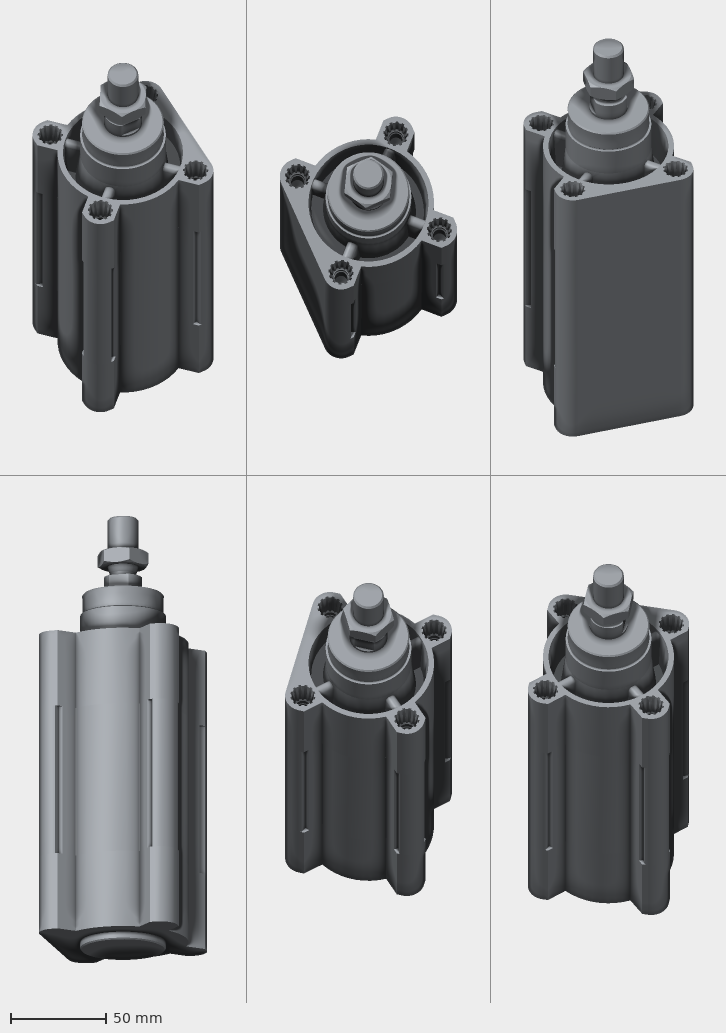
import cadquery as cq
import math

TOTAL_HEIGHT = 233
BOSS_HEIGHT = 4.0
CAP_LENGTH = 40.8
BARREL_LENGTH = 80.0
SLEEVE_HEIGHT = 15.0
WIPER_HEIGHT = 11.5
FLAT_FOOT = 1.5
SHOULDER_HEIGHT = 9.3
NUT_TOP = 215.0
NUT_THICKNESS = 8.0

BARREL_Z = BOSS_HEIGHT + CAP_LENGTH
FRONT_CAP_Z = BARREL_Z + BARREL_LENGTH
CAP_TOP = FRONT_CAP_Z + CAP_LENGTH
WIPER_Z = CAP_TOP + SLEEVE_HEIGHT
WIPER_TOP = WIPER_Z + WIPER_HEIGHT
SHOULDER_Z = WIPER_TOP + SHOULDER_HEIGHT
NUT_Z = NUT_TOP - NUT_THICKNESS

SIDE = 75.0
LOBE_R = 9.3
TUBE_D = 68.8
ARM_WIDTH = 17.5
HALF_SIDE = SIDE / 2
LOBE_XY = HALF_SIDE - LOBE_R
LOBE_RADIAL = LOBE_XY * math.sqrt(2)
DIAGONALS = [45, 135, 225, 315]

GROOVE_START = 41.3
GROOVE_WALL = 1.0
GROOVE_HALF_WIDTH = 6.5
LOBE_EDGE_HALF_WIDTH = 7.7
BARREL_FILLET = 0.7

COLLAR_D = 45.0
WIPER_D = 43.0
WIPER_WAIST_D = 42.5
WIPER_CHAMFER = 0.7
BOSS_CHAMFER = 0.7

RECESS_D = 63
RECESS_DEPTH = 21.0
SHALLOW_DEPTH = 12.1
DRAFT = math.tan(math.radians(6.5))
RIB_HALF_WIDTH = 2.8
RIB_CREST = 0.2
RIB_DROP = 1.6

SOCKET_D = 12.0
TOOTH_TIP_D = 13.3
TOOTH_COUNT = 12
SOCKET_NARROWING = 2.8
SOCKET_DEPTH = 11.7
STEP_D = 8.0
STEP_DEPTH = 2.3
DRILL_D = 6.8
DRILL_DEPTH = 9.3
DRILL_TIP_ANGLE = 118

ROD_D = 20.0
ROD_FLATS = 17.0
THREAD_D = 16.0
THREAD_CHAMFER = 1.0
NECK_D = 14.0
NECK_EDGE_D = 15.0
NECK_FILLET_HEIGHT = 0.7
NECK_CONE_D = 14.5
NECK_LENGTH = 2.8
CONE_HEIGHT = 2.8
NUT_FLATS = 24.0
NUT_CHAMFER_ANGLE = 30
NUT_SIDES = 6
NUT_HALF_SECTOR = 180 / NUT_SIDES


def cylinder(diameter, z_bottom, height):
    return cq.Workplane("XY", origin=(0, 0, z_bottom)).circle(diameter / 2).extrude(height)


def revolve_about_z(profile):
    return profile.close().revolve(360, (0, 0, 0), (0, 1, 0))


def back_web(z_bottom, height):
    """Flat side that joins the two lobes on +Y."""
    return (
        cq.Workplane("XY", origin=(0, 0, z_bottom))
        .rect(2 * LOBE_XY, LOBE_R)
        .extrude(height)
        .translate((0, LOBE_XY + LOBE_R / 2, 0))
    )


def cap(z_bottom):
    """Round cap with four diagonal arms trimmed to a rounded square."""
    base = cq.Workplane("XY", origin=(0, 0, z_bottom))
    rounded_square = base.rect(SIDE, SIDE).extrude(CAP_LENGTH).edges("|Z").fillet(LOBE_R)
    strip = base.rect(2 * SIDE, ARM_WIDTH).extrude(CAP_LENGTH)
    arms = strip.rotate((0, 0, 0), (0, 0, 1), 45).union(strip.rotate((0, 0, 0), (0, 0, 1), -45))
    tube = cylinder(TUBE_D, z_bottom, CAP_LENGTH)
    return tube.union(arms.intersect(rounded_square)).union(back_web(z_bottom, CAP_LENGTH))


def barrel_arm():
    """One barrel arm along +X with a small groove on each side of its lobe."""
    floor_x = GROOVE_START + GROOVE_WALL
    lobe_edge_x = LOBE_RADIAL + math.sqrt(LOBE_R**2 - LOBE_EDGE_HALF_WIDTH**2)
    return (
        cq.Workplane("XY", origin=(0, 0, BARREL_Z))
        .moveTo(0, -ARM_WIDTH / 2)
        .lineTo(GROOVE_START, -ARM_WIDTH / 2)
        .lineTo(floor_x, -GROOVE_HALF_WIDTH)
        .lineTo(lobe_edge_x, -LOBE_EDGE_HALF_WIDTH)
        .threePointArc((LOBE_RADIAL + LOBE_R, 0), (lobe_edge_x, LOBE_EDGE_HALF_WIDTH))
        .lineTo(floor_x, GROOVE_HALF_WIDTH)
        .lineTo(GROOVE_START, ARM_WIDTH / 2)
        .lineTo(0, ARM_WIDTH / 2)
        .close()
        .extrude(BARREL_LENGTH)
    )


def barrel():
    body = cylinder(TUBE_D, BARREL_Z, BARREL_LENGTH)
    arm = barrel_arm()
    for angle in DIAGONALS:
        body = body.union(arm.rotate((0, 0, 0), (0, 0, 1), angle))
    corner_x = math.sqrt((TUBE_D / 2) ** 2 - (ARM_WIDTH / 2) ** 2)
    corner_angle = math.degrees(math.atan2(ARM_WIDTH / 2, corner_x))
    for angle in DIAGONALS:
        for side in (-1, 1):
            direction = math.radians(angle + side * corner_angle)
            corner = (
                TUBE_D / 2 * math.cos(direction),
                TUBE_D / 2 * math.sin(direction),
                BARREL_Z + BARREL_LENGTH / 2,
            )
            body = body.edges(cq.selectors.NearestToPointSelector(corner)).fillet(BARREL_FILLET)
    return body.union(back_web(BARREL_Z, BARREL_LENGTH))


def recess_ring():
    """Ring-shaped recess volume whose walls close in towards the floor."""
    inset = RECESS_DEPTH * DRAFT
    floor_z = CAP_TOP - RECESS_DEPTH
    return revolve_about_z(
        cq.Workplane("XZ")
        .moveTo(COLLAR_D / 2, CAP_TOP)
        .lineTo(RECESS_D / 2, CAP_TOP)
        .lineTo(RECESS_D / 2 - inset, floor_z)
        .lineTo(COLLAR_D / 2 + inset, floor_z)
    )


def rib():
    """Rib along +X that widens downwards, with rounded shoulders beside a narrow crest."""
    round_r = RIB_HALF_WIDTH - RIB_CREST
    round_mid_y = RIB_CREST + round_r / math.sqrt(2)
    crest_z = CAP_TOP - RIB_DROP
    axis_z = crest_z - round_r
    round_mid_z = axis_z + round_r / math.sqrt(2)
    foot_z = CAP_TOP - RECESS_DEPTH
    foot_half_width = RIB_HALF_WIDTH + (axis_z - foot_z) * DRAFT
    return (
        cq.Workplane("YZ")
        .moveTo(-foot_half_width, foot_z)
        .lineTo(-RIB_HALF_WIDTH, axis_z)
        .threePointArc((-round_mid_y, round_mid_z), (-RIB_CREST, crest_z))
        .lineTo(RIB_CREST, crest_z)
        .threePointArc((round_mid_y, round_mid_z), (RIB_HALF_WIDTH, axis_z))
        .lineTo(foot_half_width, foot_z)
        .close()
        .extrude(RECESS_D / 2)
    )


def shallow_step():
    """Raised floor of the recess quarter on +Y."""
    return (
        cq.Workplane("XY", origin=(0, 0, CAP_TOP - RECESS_DEPTH))
        .polyline([(0, 0), (RECESS_D, RECESS_D), (-RECESS_D, RECESS_D)])
        .close()
        .extrude(RECESS_DEPTH - SHALLOW_DEPTH)
    )


def front_recess():
    recess = recess_ring().cut(shallow_step())
    for angle in DIAGONALS:
        recess = recess.cut(rib().rotate((0, 0, 0), (0, 0, 1), angle))
    return recess


def socket_cone(mouth_d):
    """Tapered plug, widest at its mouth on Z = 0."""
    return revolve_about_z(
        cq.Workplane("XZ")
        .lineTo(mouth_d / 2, 0)
        .lineTo((mouth_d - SOCKET_NARROWING) / 2, -SOCKET_DEPTH)
        .lineTo(0, -SOCKET_DEPTH)
    )


def screw_socket():
    """Tapered toothed socket, stepped bore and drill tip, opening at the origin."""
    slot_width = math.pi * SOCKET_D / TOOTH_COUNT / 2
    socket = socket_cone(SOCKET_D)
    tip_cone = socket_cone(TOOTH_TIP_D)
    for i in range(TOOTH_COUNT // 2):
        slot = cq.Workplane("XY").rect(2 * TOOTH_TIP_D, slot_width).extrude(-SOCKET_DEPTH)
        slot = slot.rotate((0, 0, 0), (0, 0, 1), i * 360 / TOOTH_COUNT)
        socket = socket.union(slot.intersect(tip_cone))
    step_z = -SOCKET_DEPTH - STEP_DEPTH
    drill_z = step_z - DRILL_DEPTH
    tip_height = DRILL_D / 2 / math.tan(math.radians(DRILL_TIP_ANGLE / 2))
    bore = revolve_about_z(
        cq.Workplane("XZ")
        .moveTo(0, -SOCKET_DEPTH)
        .lineTo(STEP_D / 2, -SOCKET_DEPTH)
        .lineTo(STEP_D / 2, step_z)
        .lineTo(DRILL_D / 2, step_z)
        .lineTo(DRILL_D / 2, drill_z)
        .lineTo(0, drill_z - tip_height)
    )
    return socket.union(bore)


def collar():
    """Sleeve with a slightly waisted wiper ring on top, chamfered at both ends."""
    end_r = WIPER_D / 2 - WIPER_CHAMFER
    waist_z = WIPER_Z + WIPER_HEIGHT / 2
    return revolve_about_z(
        cq.Workplane("XZ")
        .moveTo(0, FRONT_CAP_Z)
        .lineTo(COLLAR_D / 2, FRONT_CAP_Z)
        .lineTo(COLLAR_D / 2, WIPER_Z)
        .lineTo(end_r, WIPER_Z)
        .lineTo(WIPER_D / 2, WIPER_Z + WIPER_CHAMFER)
        .threePointArc((WIPER_WAIST_D / 2, waist_z), (WIPER_D / 2, WIPER_TOP - WIPER_CHAMFER))
        .lineTo(end_r, WIPER_TOP)
        .lineTo(0, WIPER_TOP)
    )


def make_housing():
    front_cap = cap(FRONT_CAP_Z).cut(front_recess())
    for x in (-LOBE_XY, LOBE_XY):
        for y in (-LOBE_XY, LOBE_XY):
            front_cap = front_cap.cut(screw_socket().translate((x, y, CAP_TOP)))
    boss = cylinder(COLLAR_D, 0, BOSS_HEIGHT).faces("<Z").chamfer(BOSS_CHAMFER)
    rod_bore = cylinder(ROD_D, FRONT_CAP_Z, WIPER_TOP - FRONT_CAP_Z)
    body = cap(BOSS_HEIGHT).union(boss).union(barrel()).union(front_cap)
    return body.union(collar()).cut(rod_bore)


def make_rod():
    """Piston rod with wrench flats, undercut neck and threaded end."""
    neck_top = SHOULDER_Z + NECK_LENGTH
    rod = revolve_about_z(
        cq.Workplane("XZ")
        .moveTo(0, FRONT_CAP_Z)
        .lineTo(ROD_D / 2, FRONT_CAP_Z)
        .lineTo(ROD_D / 2, SHOULDER_Z)
        .lineTo(NECK_EDGE_D / 2, SHOULDER_Z)
        .lineTo(NECK_D / 2, SHOULDER_Z + NECK_FILLET_HEIGHT)
        .lineTo(NECK_D / 2, neck_top - NECK_FILLET_HEIGHT)
        .lineTo(NECK_CONE_D / 2, neck_top)
        .lineTo(THREAD_D / 2, neck_top + CONE_HEIGHT)
        .lineTo(THREAD_D / 2, TOTAL_HEIGHT - THREAD_CHAMFER)
        .lineTo(THREAD_D / 2 - THREAD_CHAMFER, TOTAL_HEIGHT)
        .lineTo(0, TOTAL_HEIGHT)
    )
    flat_z = WIPER_TOP + FLAT_FOOT
    for side in (-1, 1):
        x = side * (ROD_FLATS / 2 + ROD_D / 2)
        cutter = cq.Workplane("XY", origin=(x, 0, flat_z)).rect(ROD_D, ROD_D)
        rod = rod.cut(cutter.extrude(SHOULDER_Z - flat_z))
    return rod


def make_nut():
    """Hexagon nut with flats facing +X and -X and chamfered corners."""
    corner_d = NUT_FLATS / math.cos(math.radians(NUT_HALF_SECTOR))
    drop = (corner_d - NUT_FLATS) / 2 * math.tan(math.radians(NUT_CHAMFER_ANGLE))
    hexagon = (
        cq.Workplane("XY", origin=(0, 0, NUT_Z))
        .polygon(NUT_SIDES, corner_d)
        .extrude(NUT_THICKNESS)
        .rotate((0, 0, 0), (0, 0, 1), NUT_HALF_SECTOR)
    )
    envelope = revolve_about_z(
        cq.Workplane("XZ")
        .moveTo(0, NUT_Z)
        .lineTo(NUT_FLATS / 2, NUT_Z)
        .lineTo(corner_d / 2, NUT_Z + drop)
        .lineTo(corner_d / 2, NUT_TOP - drop)
        .lineTo(NUT_FLATS / 2, NUT_TOP)
        .lineTo(0, NUT_TOP)
    )
    return hexagon.intersect(envelope).cut(make_rod())


housing = make_housing()
rod = make_rod()
nut = make_nut()

result = cq.Compound.makeCompound([housing.val(), rod.val(), nut.val()])